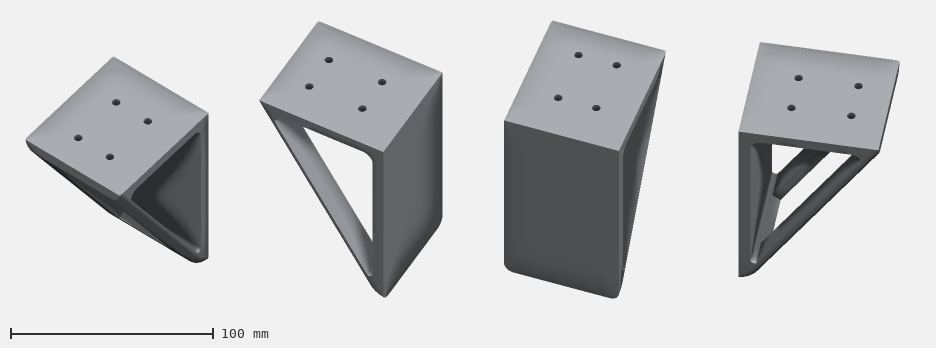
import cadquery as cq
import math

width = 60.0
depth = 70.0
height = 111.0

wall = 6.0
nose_height = 6.0
toe_depth = 9.4
toe_height = 6.2
edge_radius = 5.0

back_corner_radius = 6.0
front_corner_radius = 4.7
lower_corner_radius = 1.8
opening_bottom = 14.9

window_width = 32.0
window_bottom = 12.0
window_top = 93.1
window_cut_depth = 6.1

hole_diameter = 4.2
hole_spacing_x = 20.0
hole_spacing_y = 30.0
hole_center_y = -38.0

nose = (-depth, height - nose_height)
toe = (-toe_depth, toe_height)
slope_length = math.hypot(nose[0] - toe[0], nose[1] - toe[1])
up_slope = ((nose[0] - toe[0]) / slope_length, (nose[1] - toe[1]) / slope_length)
inward = (up_slope[1], -up_slope[0])


def slope_point(z, inset=0.0):
    """Point at height z on the slope line moved inward by inset."""
    start_y = toe[0] + inset * inward[0]
    start_z = toe[1] + inset * inward[1]
    return (start_y + (z - start_z) * up_slope[0] / up_slope[1], z)


def make_body():
    """Solid wedge with a curved toe and rounded side edges along slope and toe."""
    body = (
        cq.Workplane("YZ")
        .moveTo(0, height)
        .lineTo(-depth, height)
        .lineTo(*nose)
        .lineTo(*toe)
        .tangentArcPoint((0, 0), relative=False)
        .close()
        .extrude(width / 2, both=True)
    )
    mid_slope = slope_point(height / 2)
    for side_x in (-width / 2, width / 2):
        edge = cq.selectors.NearestToPointSelector((side_x, *mid_slope))
        body = body.edges(edge).fillet(edge_radius)
    return body


def make_opening():
    """Four-sided opening running across the full width between the plates."""
    top = height - wall
    front_arc_end = slope_point(top - front_corner_radius, edge_radius)
    front_arc_start = (front_arc_end[0] + front_corner_radius, top)
    return (
        cq.Workplane("YZ")
        .moveTo(-wall - back_corner_radius, top)
        .lineTo(*front_arc_start)
        .radiusArc(front_arc_end, -front_corner_radius)
        .lineTo(*slope_point(opening_bottom, edge_radius))
        .lineTo(-wall - lower_corner_radius, opening_bottom)
        .radiusArc((-wall, opening_bottom + lower_corner_radius), -lower_corner_radius)
        .lineTo(-wall, top - back_corner_radius)
        .radiusArc((-wall - back_corner_radius, top), -back_corner_radius)
        .close()
        .extrude(width / 2, both=True)
    )


def make_window():
    """Rectangular window cut square to the sloping face."""
    lower = slope_point(window_bottom)
    upper = slope_point(window_top)
    shift = (window_cut_depth * inward[0], window_cut_depth * inward[1])
    return (
        cq.Workplane("YZ")
        .polyline([
            lower,
            upper,
            (upper[0] + shift[0], upper[1] + shift[1]),
            (lower[0] + shift[0], lower[1] + shift[1]),
        ])
        .close()
        .extrude(window_width / 2, both=True)
    )


def make_holes():
    """Four mounting holes through the top plate."""
    return (
        cq.Workplane("XY", origin=(0, hole_center_y, height))
        .rect(hole_spacing_x, hole_spacing_y, forConstruction=True)
        .vertices()
        .circle(hole_diameter / 2)
        .extrude(-wall)
    )


result = make_body().cut(make_opening()).cut(make_window()).cut(make_holes())